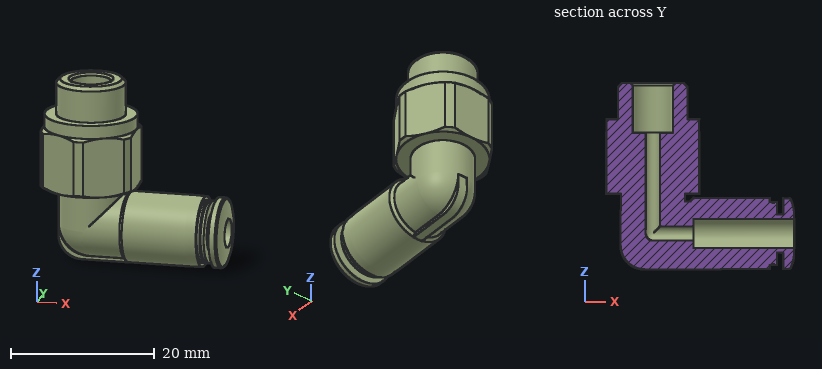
import cadquery as cq
import math

elbow_radius = 9.0 / 2
passage_radius = 1.9 / 2

hex_flats = 13.0
hex_corner_diameter = 14.28
hex_bottom = 5.53
hex_top = 14.05
hex_half_angle = 180 / 6
hex_chamfer_angle = 30
collar_top = 15.93
stud_top = 20.99
stud_radius = 9.72 / 2
stud_chamfer = 0.55
stud_bore_radius = 5.55 / 2
stud_bore_chamfer = 0.35
stud_bore_bottom = hex_top

shoulder_start = 5.21
shoulder_end = 5.69
sleeve_radius = 10.0 / 2
taper_start = 14.78
sleeve_end = 16.3
sleeve_end_radius = 9.9 / 2
ring_radius = 8.8 / 2
ring_end = 17.32
groove_start = 16.7
groove_end = 16.85
groove_depth = 0.1
neck_radius = 5.4 / 2
neck_flare_start = 17.95
neck_flare_radius = 5.55 / 2
button_start = 18.15
button_radius = 9.9 / 2
button_rim_end = 19.02
button_edge = 19.25
button_edge_radius = 4.77
overall_length = 26.2
button_face = overall_length - hex_flats / 2
button_face_radius = 2.67
dome_mid = 19.57
dome_mid_radius = 3.77
tube_bore_radius = 4.0 / 2
tube_bore_bottom = shoulder_end

rib_width = 1.52
rib_corner_radius = 3.35


def z_cylinder(radius, bottom, top):
    return cq.Workplane("XY").workplane(offset=bottom).circle(radius).extrude(top - bottom)


def x_cylinder(radius, start, end):
    return cq.Workplane("YZ").workplane(offset=start).circle(radius).extrude(end - start)


def make_hexagon():
    """Hexagon with rounded corners and conical chamfers at both ends."""
    flat_radius = hex_flats / 2
    corner_radius = hex_corner_diameter / 2
    point_diameter = hex_flats / math.cos(math.radians(hex_half_angle))
    chamfer_height = (corner_radius - flat_radius) * math.tan(math.radians(hex_chamfer_angle))
    prism = (
        cq.Workplane("XY").workplane(offset=hex_bottom)
        .transformed(rotate=(0, 0, hex_half_angle))
        .polygon(6, point_diameter)
        .extrude(hex_top - hex_bottom)
    )
    envelope = (
        cq.Workplane("XZ")
        .moveTo(0, hex_bottom)
        .lineTo(flat_radius, hex_bottom)
        .lineTo(corner_radius, hex_bottom + chamfer_height)
        .lineTo(corner_radius, hex_top - chamfer_height)
        .lineTo(flat_radius, hex_top)
        .lineTo(0, hex_top)
        .close()
        .revolve(360, (0, 0), (0, 1))
    )
    return prism.intersect(envelope)


def make_stud():
    collar = z_cylinder(hex_flats / 2, hex_top, collar_top)
    stud = z_cylinder(stud_radius, collar_top, stud_top).faces(">Z").chamfer(stud_chamfer)
    return make_hexagon().union(collar).union(stud)


def make_elbow():
    """Two mitred cylinders with a spherical outer bend."""
    upright = z_cylinder(elbow_radius, 0, hex_bottom)
    outlet = x_cylinder(elbow_radius, 0, shoulder_start)
    bend = cq.Workplane("XY").sphere(elbow_radius)
    return upright.union(outlet).union(bend)


def make_socket():
    """Sleeve, grooved ring, neck and domed release button, turned about X."""
    groove_radius = ring_radius - groove_depth
    return (
        cq.Workplane("XZ")
        .moveTo(shoulder_start, 0)
        .lineTo(shoulder_start, elbow_radius)
        .lineTo(shoulder_end, sleeve_radius)
        .lineTo(taper_start, sleeve_radius)
        .lineTo(sleeve_end, sleeve_end_radius)
        .lineTo(sleeve_end, ring_radius)
        .lineTo(groove_start, ring_radius)
        .lineTo(groove_start, groove_radius)
        .lineTo(groove_end, groove_radius)
        .lineTo(groove_end, ring_radius)
        .lineTo(ring_end, ring_radius)
        .lineTo(ring_end, neck_radius)
        .lineTo(neck_flare_start, neck_radius)
        .lineTo(button_start, neck_flare_radius)
        .lineTo(button_start, button_radius)
        .lineTo(button_rim_end, button_radius)
        .lineTo(button_edge, button_edge_radius)
        .threePointArc((dome_mid, dome_mid_radius), (button_face, button_face_radius))
        .lineTo(button_face, 0)
        .close()
        .revolve(360, (0, 0), (1, 0))
    )


def make_rib():
    rib = (
        cq.Workplane("XZ")
        .moveTo(-elbow_radius, 0)
        .lineTo(-elbow_radius, -sleeve_radius)
        .lineTo(shoulder_end, -sleeve_radius)
        .lineTo(shoulder_end, 0)
        .close()
        .extrude(rib_width / 2, both=True)
    )
    return rib.edges("|Y and <X and <Z").fillet(rib_corner_radius)


def make_bores():
    """Stud bore and tube bore joined by a narrow passage with a spherical bend."""
    stud_bore = z_cylinder(stud_bore_radius, stud_bore_bottom, stud_top)
    mouth = (
        cq.Workplane("XY").workplane(offset=stud_top - stud_bore_chamfer)
        .circle(stud_bore_radius)
        .workplane(offset=stud_bore_chamfer)
        .circle(stud_bore_radius + stud_bore_chamfer)
        .loft()
    )
    tube_bore = x_cylinder(tube_bore_radius, tube_bore_bottom, button_face)
    passage = (
        z_cylinder(passage_radius, 0, stud_bore_bottom)
        .union(x_cylinder(passage_radius, 0, tube_bore_bottom))
        .union(cq.Workplane("XY").sphere(passage_radius))
    )
    return stud_bore.union(mouth).union(tube_bore).union(passage)


body = make_elbow().union(make_stud()).union(make_socket()).union(make_rib())
result = body.cut(make_bores())